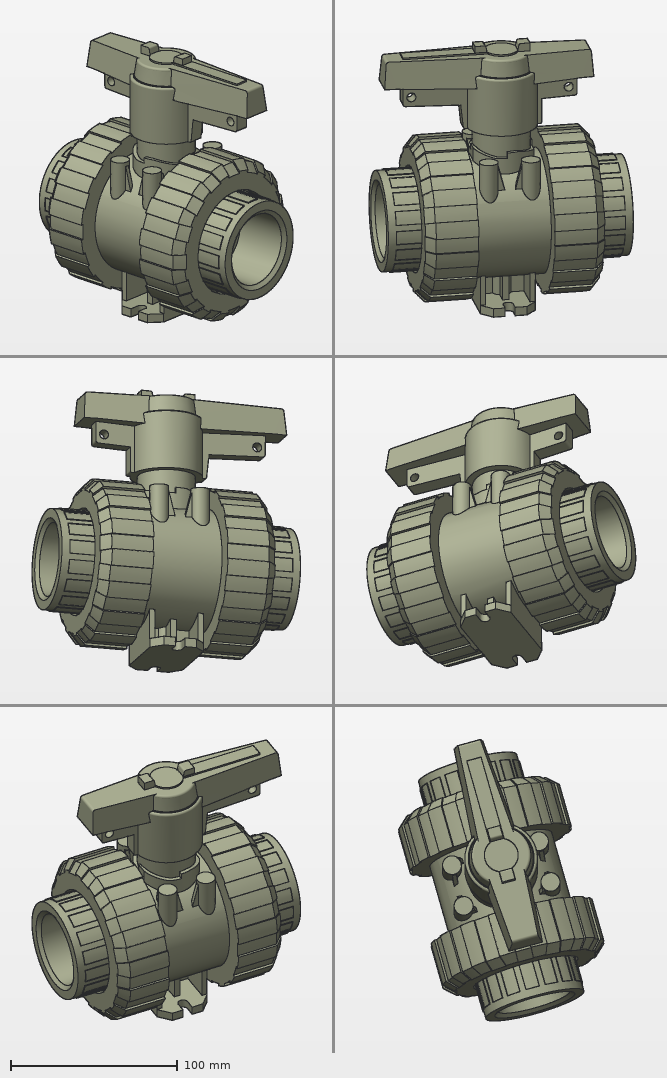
import cadquery as cq
import math


nut_inner_x = 23.3
nut_chamfer_x = 49.5
nut_outer_x = 54.9
nut_dia = 101.0
nut_front_dia = 89.3
nut_groove_depth = 1.5
nut_groove_width = 9.6
nut_grooves = 16
nut_hole_dia = 65.0

body_dia = 76.2
body_half_length = 39.7
bore_dia = 40.0
stem_dia = 35.0
collar_dia = 40.2
collar_half_width = 18.7
collar_top = 45.8
collar_drop = 3.5
ramps = 4
ramp_half_run = 8.3

post_dia = 11.4
post_x = 12.9
post_y = 27.1
post_top = 43.3
fin_thickness = 2.6
fin_top = 40.7
fin_reach = 4.0
side_fin_x = 15.4
side_fin_foot_y = 19.3
side_fin_foot_z = 31.5

foot_bottom = -55.9
foot_thickness = 5.5
foot_half_x = 16.9
foot_half_y = 28.5
foot_corner_x = 6.6
foot_corner_y = 7.3
foot_slot_dia = 6.1
foot_slot_y = 22.3
leg_thickness = 3.3
leg_half_y = 20.8
rib_thickness = 4.0
rib_half_y = 14.5
foot_boss_dia = 11.9

pipe_end_x = 75.0
pipe_dia = 61.4
socket_dia = 44.8
socket_mouth_dia = 50.0
socket_mouth_depth = 2.1
flange_dia = 75.7
pad_dia = 62.5
pad_end_x = 70.1
pad_angle = 15.5
pads = 16

hub_dia = 43.8
hub_bottom = 57.4
hub_shoulder = 93.5
hub_rounding = 1.5
cap_step_dia = 39.7
cap_step_height = 0.5
cap_base_dia = 38.5
cap_top_dia = 35.7
cap_rounding = 1.5
handle_top = 104.3
bar_bottom = 85.7
bar_left_hub_bottom, bar_right_hub_bottom = 86.5, 85.8
bar_end_bottom = 87.5
bar_flat_end = 5.0
bar_end_rounding = 1.8
bar_left_low, bar_left_high = -54.9, -53.5
bar_right_low, bar_right_high = 73.3, 71.8
bar_left_half_low, bar_left_half_high = 10.7, 8.1
bar_mid_half_low, bar_mid_half_high = 14.5, 11.7
bar_right_half_low, bar_right_half_high = 9.3, 7.0
web_thickness = 9.0
web_left, web_right = -45.6, 61.0
web_end_bottom = 74.1
web_left_step, web_right_step = -24.0, 25.6
web_left_step_z, web_right_step_z = 73.3, 72.6
web_right_foot = 24.0
web_end_rounding = 1.7
web_foot_rounding = 1.0
lock_hole_dia = 5.5
lock_hole_z = 79.7
lock_hole_left, lock_hole_right = -40.5, 55.9
disc_dia = 20.3
raised_height = 1.0
tab_outer_x = 16.9
tab_top_x = 10.3
tab_rounding = 1.3
tab_inner_x = 9.5
tab_width = 8.1
tab_top = 109.5


def box(x0, x1, y0, y1, z0, z1):
    """Block between two opposite corners."""
    return cq.Workplane("XY").box(x1 - x0, y1 - y0, z1 - z0, centered=False).translate((x0, y0, z0))


def upright(dia, z0, z1, x=0, y=0):
    """Vertical cylinder."""
    return cq.Workplane("XY", origin=(x, y, z0)).circle(dia / 2).extrude(z1 - z0)


def along_x(dia, x0, x1):
    """Cylinder on the pipe axis."""
    return cq.Workplane("YZ", origin=(x0, 0, 0)).circle(dia / 2).extrude(x1 - x0)


def turned(points):
    """Ring around the pipe axis from an (x, radius) outline."""
    return cq.Workplane("XY").polyline(points).close().revolve(360, (0, 0, 0), (1, 0, 0))


def mirrored_pair(solid):
    """A +X end part and its copy on the -X end."""
    return [solid, solid.mirror("YZ")]


def nut_blank(radius_loss):
    """Plain chamfered nut, turned down by radius_loss."""
    outer = nut_dia / 2 - radius_loss
    front = nut_front_dia / 2 - radius_loss
    return turned([
        (nut_inner_x, body_dia / 2),
        (nut_inner_x, outer),
        (nut_chamfer_x, outer),
        (nut_outer_x, front),
        (nut_outer_x, nut_hole_dia / 2),
        (nut_chamfer_x, nut_hole_dia / 2),
        (nut_chamfer_x, body_dia / 2),
    ])


def make_nut():
    teeth = nut_blank(0)
    half = nut_groove_width / 2
    groove = box(nut_inner_x, nut_outer_x, -half, half, body_dia / 2, nut_dia)
    for i in range(nut_grooves):
        teeth = teeth.cut(groove.rotate((0, 0, 0), (1, 0, 0), i * 360 / nut_grooves))
    return nut_blank(nut_groove_depth).union(teeth)


def make_connector():
    connector = turned([
        (body_half_length, socket_dia / 2),
        (body_half_length, flange_dia / 2),
        (nut_chamfer_x, flange_dia / 2),
        (nut_chamfer_x, pipe_dia / 2),
        (pipe_end_x, pipe_dia / 2),
        (pipe_end_x, socket_mouth_dia / 2),
        (pipe_end_x - socket_mouth_depth, socket_dia / 2),
    ])
    pad_root = (socket_mouth_dia + pipe_dia) / 4
    pad = (
        cq.Workplane("XY")
        .moveTo(nut_chamfer_x, pad_root)
        .lineTo(nut_chamfer_x, pad_dia / 2)
        .lineTo(pad_end_x, pad_dia / 2)
        .lineTo(pad_end_x, pad_root)
        .close()
        .revolve(pad_angle, (0, 0, 0), (1, 0, 0))
        .rotate((0, 0, 0), (1, 0, 0), -pad_angle / 2)
    )
    for i in range(pads):
        connector = connector.union(pad.rotate((0, 0, 0), (1, 0, 0), i * 360 / pads))
    return connector


def make_stem():
    """Stem with a flat-sided collar, whose rim is four ramps that each fall to a step."""
    radius = collar_dia / 2
    reach = radius / math.sqrt(2)
    ramp = (
        cq.Workplane("XZ")
        .polyline([
            (-reach, 0),
            (reach, 0),
            (reach, collar_top - collar_drop),
            (ramp_half_run, collar_top - collar_drop),
            (-ramp_half_run, collar_top),
            (-reach, collar_top),
        ])
        .close()
        .extrude(radius)
        .rotate((0, 0, 0), (0, 0, 1), -45)
        .intersect(box(-radius, 0, -radius, 0, 0, collar_top))
    )
    stem = upright(stem_dia, 0, hub_bottom)
    for i in range(ramps):
        stem = stem.union(ramp.rotate((0, 0, 0), (0, 0, 1), i * 360 / ramps))
    envelope = upright(collar_dia, 0, hub_bottom).intersect(
        box(-collar_half_width, collar_half_width, -radius, radius, 0, hub_bottom)
    )
    return stem.intersect(envelope)


def make_post():
    """Post in the +X +Y corner, with a fin towards the middle on each of two sides."""
    fin_foot_z = math.sqrt((body_dia / 2) ** 2 - (post_y + fin_thickness / 2) ** 2)
    post_side_x = post_x - post_dia / 2
    cross_fin = (
        cq.Workplane("XZ", origin=(0, post_y + fin_thickness / 2, 0))
        .polyline([
            (post_x, 0),
            (post_side_x - fin_reach, 0),
            (post_side_x - fin_reach, fin_foot_z),
            (post_side_x, fin_top),
            (post_x, fin_top),
        ])
        .close()
        .extrude(fin_thickness)
    )
    post_side_y = post_y - post_dia / 2
    side_fin = (
        cq.Workplane("YZ", origin=(side_fin_x - fin_thickness / 2, 0, 0))
        .polyline([
            (post_y, 0),
            (side_fin_foot_y, 0),
            (side_fin_foot_y, side_fin_foot_z),
            (post_side_y, fin_top),
            (post_y, fin_top),
        ])
        .close()
        .extrude(fin_thickness)
    )
    return upright(post_dia, 0, post_top, post_x, post_y).union(cross_fin).union(side_fin)


def make_foot():
    plate_top = foot_bottom + foot_thickness
    corner_x = foot_half_x - foot_corner_x
    corner_y = foot_half_y - foot_corner_y
    foot = (
        cq.Workplane("XY", origin=(0, 0, foot_bottom))
        .polyline([
            (-foot_half_x, -corner_y),
            (-corner_x, -foot_half_y),
            (corner_x, -foot_half_y),
            (foot_half_x, -corner_y),
            (foot_half_x, corner_y),
            (corner_x, foot_half_y),
            (-corner_x, foot_half_y),
            (-foot_half_x, corner_y),
        ])
        .close()
        .extrude(foot_thickness)
    )
    slot_half = foot_slot_dia / 2
    for side in (-1, 1):
        end_y, outer_y = sorted((side * foot_slot_y, side * foot_half_y))
        foot = foot.cut(upright(foot_slot_dia, foot_bottom, plate_top, 0, side * foot_slot_y))
        foot = foot.cut(box(-slot_half, slot_half, end_y, outer_y, foot_bottom, plate_top))
        leg_x0, leg_x1 = sorted((side * foot_half_x, side * (foot_half_x - leg_thickness)))
        foot = foot.union(box(leg_x0, leg_x1, -leg_half_y, leg_half_y, plate_top, 0))
    half_rib = rib_thickness / 2
    foot = foot.union(box(-half_rib, half_rib, -rib_half_y, rib_half_y, plate_top, 0))
    foot = foot.union(box(-foot_half_x, foot_half_x, -half_rib, half_rib, plate_top, 0))
    return foot.union(upright(foot_boss_dia, plate_top, 0))


def make_body():
    body = along_x(body_dia, -body_half_length, body_half_length)
    body = body.union(make_stem()).union(make_foot())
    post = make_post()
    for row in (post, post.mirror("XZ")):
        for single in mirrored_pair(row):
            body = body.union(single)
    return body.cut(along_x(bore_dia, -body_half_length, body_half_length))


def bar_section(left, left_half, mid_half, right, right_half):
    """Plan outline of the bar: widest on the stem axis, narrowing to both ends."""
    return [
        (left, -left_half),
        (0, -mid_half),
        (right, -right_half),
        (right, right_half),
        (0, mid_half),
        (left, left_half),
    ]


def make_bar():
    low = bar_section(
        bar_left_low, bar_left_half_low, bar_mid_half_low, bar_right_low, bar_right_half_low
    )
    high = bar_section(
        bar_left_high, bar_left_half_high, bar_mid_half_high, bar_right_high, bar_right_half_high
    )
    bar = (
        cq.Workplane("XY", origin=(0, 0, bar_bottom))
        .polyline(low)
        .close()
        .workplane(offset=handle_top - bar_bottom)
        .polyline(high)
        .close()
        .loft(ruled=True, combine=True)
    )
    for end, hub_bottom_edge in (
        (bar_left_low, bar_left_hub_bottom),
        (bar_right_low, bar_right_hub_bottom),
    ):
        outward = math.copysign(1.7, end)
        relief = (
            cq.Workplane("XZ", origin=(0, hub_dia / 2, 0))
            .polyline([
                (0, bar_bottom),
                (outward * hub_dia / 3.3, hub_bottom_edge),
                (end - outward * bar_flat_end, bar_end_bottom),
                (end + outward, bar_end_bottom),
                (end + outward, bar_bottom),
            ])
            .close()
            .extrude(hub_dia)
        )
        bar = bar.cut(relief)
    return bar.faces("<X or >X").edges("|Y").fillet(bar_end_rounding)


def make_hub():
    hub_radius = hub_dia / 2
    cap_radius = cap_top_dia / 2
    cap_step_top = hub_shoulder + cap_step_height
    bend = math.sqrt(0.5)
    hub_bend_x = hub_radius - hub_rounding * (1 - bend)
    hub_bend_z = hub_shoulder - hub_rounding * (1 - bend)
    cap_bend_x = cap_radius - cap_rounding * (1 - bend)
    cap_bend_z = handle_top - cap_rounding * (1 - bend)
    return (
        cq.Workplane("XZ")
        .moveTo(0, hub_bottom)
        .lineTo(hub_radius, hub_bottom)
        .lineTo(hub_radius, hub_shoulder - hub_rounding)
        .threePointArc((hub_bend_x, hub_bend_z), (hub_radius - hub_rounding, hub_shoulder))
        .lineTo(cap_step_dia / 2, hub_shoulder)
        .lineTo(cap_step_dia / 2, cap_step_top)
        .lineTo(cap_base_dia / 2, cap_step_top)
        .lineTo(cap_radius, handle_top - cap_rounding)
        .threePointArc((cap_bend_x, cap_bend_z), (cap_radius - cap_rounding, handle_top))
        .lineTo(0, handle_top)
        .close()
        .revolve(360, (0, 0, 0), (0, 1, 0))
    )


def make_web():
    """Upright plate under the bar, with a hole for a padlock near each end."""
    outline = [
        (web_left, bar_end_bottom),
        (web_left, web_end_bottom),
        (web_left_step, web_left_step_z),
        (web_left_step, hub_bottom),
        (web_right_foot, hub_bottom),
        (web_right_step, web_right_step_z),
        (web_right, web_end_bottom),
        (web_right, bar_end_bottom),
    ]
    web = cq.Workplane("XZ", origin=(0, web_thickness / 2, 0)).polyline(outline).close()
    web = web.extrude(web_thickness)
    for x, z, rounding in (
        (web_left, web_end_bottom, web_end_rounding),
        (web_right, web_end_bottom, web_end_rounding),
        (web_left_step, hub_bottom, web_foot_rounding),
        (web_right_foot, hub_bottom, web_foot_rounding),
    ):
        web = web.edges(cq.NearestToPointSelector((x, 0, z))).fillet(rounding)
    holes = (
        cq.Workplane("XZ", origin=(0, web_thickness / 2, 0))
        .pushPoints([(lock_hole_left, lock_hole_z), (lock_hole_right, lock_hole_z)])
        .circle(lock_hole_dia / 2)
        .extrude(web_thickness)
    )
    return web.cut(holes)


def make_tab():
    """Stop on the +X side of the disc, sloping and rounded on the side that faces the stem axis."""
    return (
        cq.Workplane("XZ", origin=(0, tab_width / 2, 0))
        .polyline([
            (tab_inner_x, handle_top),
            (tab_outer_x, handle_top),
            (tab_outer_x, tab_top),
            (tab_top_x, tab_top),
            (tab_inner_x, handle_top + raised_height),
        ])
        .close()
        .extrude(tab_width)
        .edges(cq.NearestToPointSelector((tab_top_x, 0, tab_top)))
        .fillet(tab_rounding)
    )


def make_handle():
    raised_top = handle_top + raised_height
    half_strip = web_thickness / 2
    handle = make_hub().union(make_bar()).union(make_web())
    handle = handle.union(upright(disc_dia, handle_top, raised_top))
    handle = handle.union(box(0, web_right, -half_strip, half_strip, handle_top, raised_top))
    for tab in mirrored_pair(make_tab()):
        handle = handle.union(tab)
    return handle


body = make_body()
handle = make_handle()
nuts = mirrored_pair(make_nut())
connectors = mirrored_pair(make_connector())

result = cq.Compound.makeCompound(
    [body.val(), handle.val()]
    + [nut.val() for nut in nuts]
    + [connector.val() for connector in connectors]
)